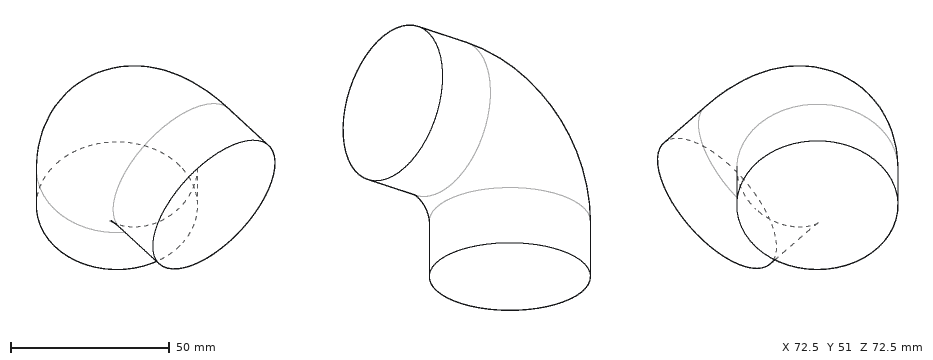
import cadquery as cq

overall = 72.5
diameter = 51.0
collar_length = 19.2

radius = diameter / 2
bend_radius = overall - collar_length - radius
axis_end = overall - radius
bend_top = collar_length + bend_radius

centreline = (
    cq.Workplane("XZ")
    .lineTo(0, collar_length)
    .tangentArcPoint((bend_radius, bend_top), relative=False)
    .lineTo(axis_end, bend_top)
)

result = cq.Workplane("XY").circle(radius).sweep(centreline)